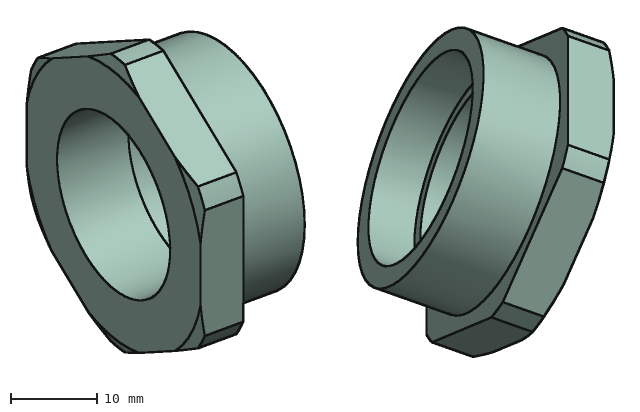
import cadquery as cq
import math

hex_sides = 6
across_flats = 36.0
corner_diameter = 40.0
hex_thickness = 6.0
collar_diameter = 32.0
collar_length = 10.0
bore_diameter = 23.4
bore_length = 10.0
rear_bore_diameter = 26.5
face_diameter = 37.0
chamfer_angle = 22.0

total_length = hex_thickness + collar_length
half_side_angle = 180 / hex_sides
sharp_corner_diameter = across_flats / math.cos(math.radians(half_side_angle))
chamfer_width = (corner_diameter - face_diameter) / 2
chamfer_depth = chamfer_width * math.tan(math.radians(chamfer_angle))


def make_turned_blank():
    """Disc with a conical front edge, from the face at Y = 0 to the collar."""
    face_radius = face_diameter / 2
    corner_radius = corner_diameter / 2
    profile = (
        cq.Workplane("XY")
        .moveTo(0, 0)
        .lineTo(face_radius, 0)
        .lineTo(corner_radius, chamfer_depth)
        .lineTo(corner_radius, hex_thickness)
        .lineTo(0, hex_thickness)
        .close()
    )
    return profile.revolve(360, (0, 0, 0), (0, 1, 0))


def make_hex_head():
    """Hexagon with flats facing +X and -X, its corners rounded and chamfered."""
    hexagon = (
        cq.Workplane("XZ")
        .transformed(rotate=(0, 0, half_side_angle))
        .polygon(hex_sides, sharp_corner_diameter)
        .extrude(-hex_thickness)
    )
    return hexagon.intersect(make_turned_blank())


def make_collar():
    """Plain round collar behind the hexagon."""
    return (
        cq.Workplane("XZ", origin=(0, hex_thickness, 0))
        .circle(collar_diameter / 2)
        .extrude(-collar_length)
    )


def make_stepped_bore():
    """Through bore that widens in one step towards the collar end."""
    front_bore = cq.Workplane("XZ").circle(bore_diameter / 2).extrude(-total_length)
    rear_bore = (
        cq.Workplane("XZ", origin=(0, bore_length, 0))
        .circle(rear_bore_diameter / 2)
        .extrude(-(total_length - bore_length))
    )
    return front_bore.union(rear_bore)


result = make_hex_head().union(make_collar()).cut(make_stepped_bore())